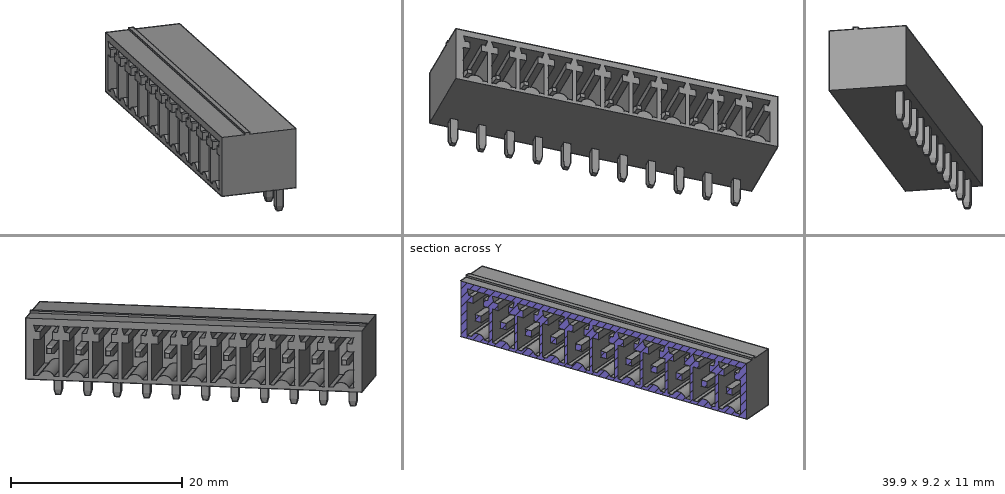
import cadquery as cq

length = 39.9
depth = 9.2
body_height = 7.3

rib_height = 0.25
rib_width = 0.6
rib_front = 2.87

contact_count = 11
row_span = 35.0
pitch = row_span / (contact_count - 1)

socket_depth = 7.02
socket_width = 3.0
socket_floor = 0.48
socket_shoulder = 4.8
neck_width = 1.45
neck_top = 5.75
keyway_base_width = 2.55
socket_top = 6.45

mound_width = 1.88
mound_height = 0.6

pin_width = 0.88
pin_tip_width = 0.55
pin_tip_length = 0.6
leg_length = 3.4
leg_from_back = 1.28
contact_z = 3.05
contact_recess = 2.0

contact_positions = [i * pitch - row_span / 2 for i in range(contact_count)]


def housing():
    """Plain block with the narrow rib across its top."""
    block = cq.Workplane("XY").box(length, depth, body_height, centered=(True, False, False))
    rib = (
        cq.Workplane("XY", origin=(0, rib_front, body_height))
        .box(length, rib_width, rib_height, centered=(True, False, False))
    )
    return block.union(rib)


def socket(x):
    """Socket volume: wide chamber, narrow neck and flared keyway, less the floor mound."""
    right_side = [
        (socket_width / 2, socket_floor),
        (socket_width / 2, socket_shoulder),
        (neck_width / 2, socket_shoulder),
        (neck_width / 2, neck_top),
        (keyway_base_width / 2, neck_top),
        (socket_width / 2, socket_top),
    ]
    left_side = [(-px, pz) for px, pz in reversed(right_side)]
    return (
        cq.Workplane("XZ", origin=(x, 0, 0))
        .polyline(right_side + left_side)
        .lineTo(-mound_width / 2, socket_floor)
        .threePointArc((0, socket_floor + mound_height), (mound_width / 2, socket_floor))
        .close()
        .extrude(-socket_depth)
    )


def pin(start, direction, total_length):
    """Square pin running from start along direction, ending in a tapered tip."""
    plane = cq.Plane(origin=start, xDir=(1, 0, 0), normal=direction)
    shank_length = total_length - pin_tip_length
    shank = cq.Workplane(plane).rect(pin_width, pin_width).extrude(shank_length)
    tip = (
        cq.Workplane(plane)
        .workplane(offset=shank_length)
        .rect(pin_width, pin_width)
        .workplane(offset=pin_tip_length)
        .rect(pin_tip_width, pin_tip_width)
        .loft(ruled=True)
    )
    return shank.union(tip)


result = housing()
for x in contact_positions:
    result = result.cut(socket(x))

leg_y = depth - leg_from_back
for x in contact_positions:
    corner = (x, leg_y, contact_z)
    leg = pin(corner, (0, 0, -1), contact_z + leg_length)
    contact = pin(corner, (0, -1, 0), leg_y - contact_recess)
    result = result.union(leg).union(contact)